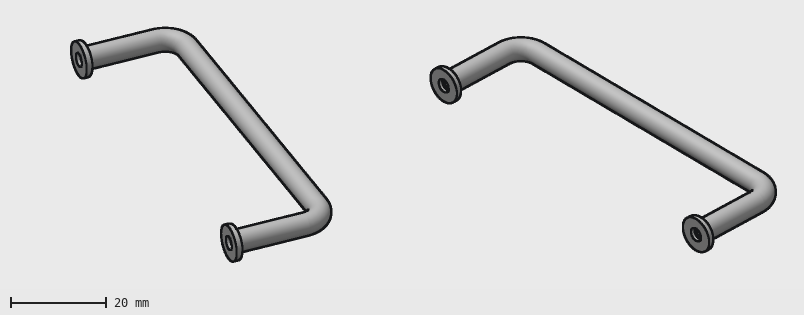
import cadquery as cq
import math

overall_length = 84.0
overall_depth = 25.0
rod_diameter = 5.0
bend_radius = 5.0
flange_diameter = 8.0
flange_thickness = 1.5
flange_edge_radius = 0.5
hole_diameter = 2.4
hole_mouth_diameter = 3.0
hole_mouth_depth = 1.0
hole_depth = 10.1
drill_point_angle = 118.0

leg_x = (overall_length - flange_diameter) / 2
grip_y = overall_depth - rod_diameter / 2
bend_start_y = grip_y - bend_radius
grip_end_x = leg_x - bend_radius
drill_slope = math.tan(math.radians(drill_point_angle / 2))
drill_point_length = hole_diameter / 2 / drill_slope
mouth_taper_length = (hole_mouth_diameter - hole_diameter) / 2 / drill_slope


def make_rod():
    """Round bar bent into a U, with its legs ending on the plane Y = 0."""
    path = (
        cq.Workplane("XY")
        .moveTo(-leg_x, 0)
        .lineTo(-leg_x, bend_start_y)
        .radiusArc((-grip_end_x, grip_y), bend_radius)
        .lineTo(grip_end_x, grip_y)
        .radiusArc((leg_x, bend_start_y), bend_radius)
        .lineTo(leg_x, 0)
    )
    return cq.Workplane("XZ", origin=(-leg_x, 0, 0)).circle(rod_diameter / 2).sweep(path)


def make_flange(x):
    """Foot disc with a rounded edge on the side facing the grip."""
    disc = cq.Workplane("XZ", origin=(x, 0, 0)).circle(flange_diameter / 2).extrude(-flange_thickness)
    return disc.faces(">Y").edges().fillet(flange_edge_radius)


def make_hole(x):
    """Blind screw hole with a wider mouth, a short taper and a conical drill point."""
    profile = (
        cq.Workplane("XY", origin=(x, 0, 0))
        .lineTo(hole_mouth_diameter / 2, 0)
        .lineTo(hole_mouth_diameter / 2, hole_mouth_depth)
        .lineTo(hole_diameter / 2, hole_mouth_depth + mouth_taper_length)
        .lineTo(hole_diameter / 2, hole_depth)
        .lineTo(0, hole_depth + drill_point_length)
        .close()
    )
    return profile.revolve(360, (0, 0, 0), (0, 1, 0))


result = make_rod()
for foot_x in (-leg_x, leg_x):
    result = result.union(make_flange(foot_x)).cut(make_hole(foot_x))